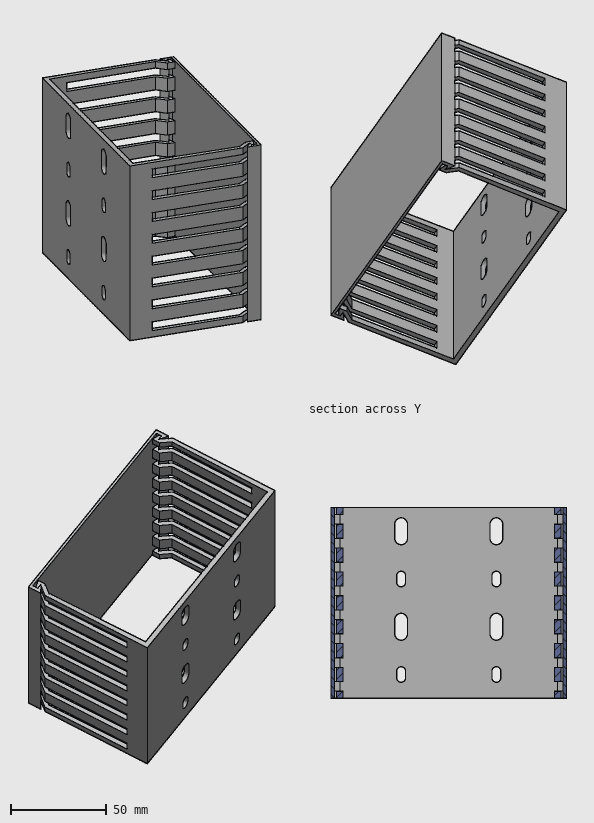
import cadquery as cq

width = 123.5
depth = 74.1
height = 100.0

base_thickness = 3.0
wall_root_thickness = 3.0
wall_bend_thickness = 2.3

cover_thickness = 1.5
leg_thickness = 2.0
leg_length = 7.8
lip_top_drop = 4.6
lip_end_drop = 4.8

hook_clearance = 0.5
hook_inner_inset = 6.4
hook_crown_inset = 5.7
hook_notch_inset = 4.7
barb_drop = 3.5
hook_knee_drop = 6.2
bend_outer_drop = 10.4
bend_inner_drop = 11.2

slot_count = 8
slot_pitch = height / slot_count
slot_width = 5.0
slot_floor = 12.7

hole_spacing_x = 49.9
hole_rows = 4
hole_pitch_z = height / hole_rows
large_hole_length = 14.0
large_hole_width = 6.5
small_hole_length = 8.0
small_hole_width = 4.6

half_width = width / 2
hook_top = depth - cover_thickness - hook_clearance


def mirrored_outline(half):
    """Close a left-hand outline, listed from the centre outwards and back, with its mirror image."""
    right = [(-x, y) for x, y in reversed(half)]
    return cq.Workplane("XY").polyline(half + right).close().extrude(height)


def inset(distance):
    """X position at a given distance in from the left outer side."""
    return distance - half_width


def drop(distance):
    """Y position at a given distance below the cover's outer face."""
    return depth - distance


def bend_inset(at_drop):
    """Inset of the bend's outer face at a given drop."""
    run = (bend_outer_drop - at_drop) / (bend_outer_drop - lip_top_drop)
    return hook_notch_inset * run


def make_trunk_profile():
    return mirrored_outline([
        (inset(0), 0),
        (inset(0), drop(bend_outer_drop)),
        (inset(hook_notch_inset), drop(lip_top_drop)),
        (inset(leg_thickness), drop(lip_top_drop)),
        (inset(leg_thickness), drop(barb_drop)),
        (inset(hook_crown_inset), hook_top),
        (inset(hook_inner_inset), hook_top),
        (inset(hook_inner_inset), drop(hook_knee_drop)),
        (inset(wall_bend_thickness), drop(bend_inner_drop)),
        (inset(wall_root_thickness), base_thickness),
    ])


def cut_finger_slots(trunk):
    slot_depth = depth - slot_floor
    for i in range(slot_count):
        slot = cq.Workplane("XY").box(width, slot_depth, slot_width).translate(
            (0, slot_floor + slot_depth / 2, (i + 0.5) * slot_pitch))
        trunk = trunk.cut(slot)
    return trunk


def cut_mounting_holes(trunk):
    for row in range(hole_rows):
        is_large = row % 2 == 1
        length = large_hole_length if is_large else small_hole_length
        hole_width = large_hole_width if is_large else small_hole_width
        z = (row + 0.5) * hole_pitch_z
        hole_centres = [(-hole_spacing_x / 2, z), (hole_spacing_x / 2, z)]
        holes = (
            cq.Workplane("XZ")
            .pushPoints(hole_centres)
            .slot2D(length, hole_width, 90)
            .extrude(-base_thickness)
        )
        trunk = trunk.cut(holes)
    return trunk


def make_trunk():
    return cut_mounting_holes(cut_finger_slots(make_trunk_profile()))


def make_cover():
    """Flat cover whose side legs end in lips that grip under the hooks' barbs."""
    return mirrored_outline([
        (inset(0), depth),
        (inset(0), drop(leg_length)),
        (inset(bend_inset(lip_end_drop)), drop(lip_end_drop)),
        (inset(hook_notch_inset), drop(lip_top_drop)),
        (inset(leg_thickness), drop(lip_top_drop)),
        (inset(leg_thickness), drop(cover_thickness)),
    ])


trunk = make_trunk()
cover = make_cover()
result = cq.Compound.makeCompound([trunk.val(), cover.val()])